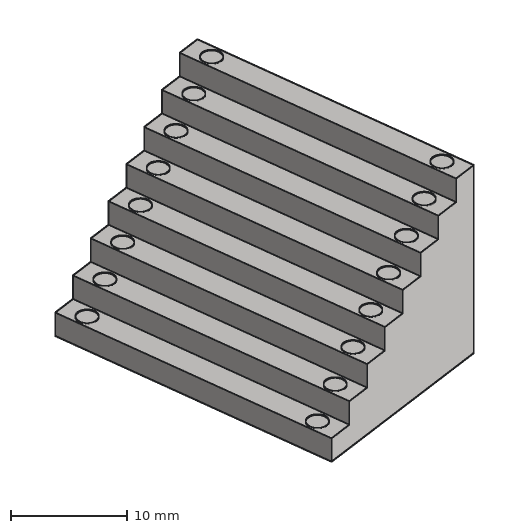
import cadquery as cq

length = 30.0
run = 20.0
step_count = 8
step = run / step_count

recess_diameter = 2.0
recess_depth = 0.1
recess_end_distance = step

front_y = -run / 2
back_y = run / 2


def stair_body():
    """Extrude the stepped side profile along X, centred on the origin."""
    points = [(back_y, 0), (front_y, 0)]
    for index in range(step_count):
        tread_z = (index + 1) * step
        points.append((front_y + index * step, tread_z))
        points.append((front_y + (index + 1) * step, tread_z))
    return cq.Workplane("YZ", origin=(-length / 2, 0, 0)).polyline(points).close().extrude(length)


def tread_recesses(index):
    """Pair of recess cutters in the tread with the given index, lowest first."""
    tread_z = (index + 1) * step
    center_y = front_y + (index + 0.5) * step
    center_x = length / 2 - recess_end_distance
    return (
        cq.Workplane("XY", origin=(0, center_y, tread_z))
        .pushPoints([(-center_x, 0), (center_x, 0)])
        .circle(recess_diameter / 2)
        .extrude(-recess_depth)
    )


result = stair_body()
for tread_index in range(step_count):
    result = result.cut(tread_recesses(tread_index))